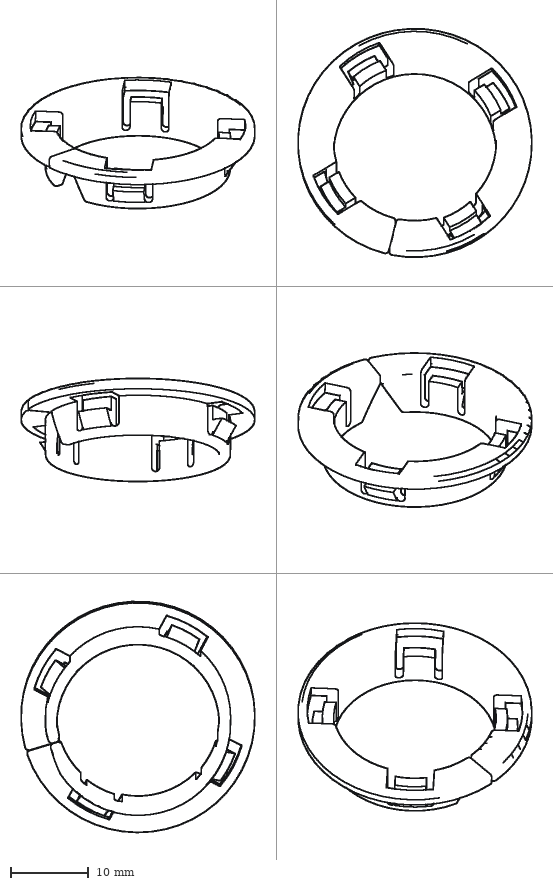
import cadquery as cq
import math

height = 6.5
flange_radius = 15.0
flange_thickness = 1.5
barrel_outer_radius = 11.88
bore_radius = 10.4
edge_radius = 0.48
flange_underside = height - flange_thickness
clearance = 0.3
selection_margin = 0.003

gap_width = 0.05
notch_half_angle = 29.5

tab_angles = (45, 135, 225, 315)
window_half_width = 3.0
window_outer_radius = 13.8
window_floor = 1.02
tab_half_width = 2.0
catch_tip_radius = 13.2
catch_top = 3.15
catch_root_radius = 11.1
catch_base_radius = 11.85
slot_width = window_half_width - tab_half_width


def cylinder(radius, bottom, top):
    return cq.Workplane("XY").workplane(offset=bottom).circle(radius).extrude(top - bottom)


def split_cutter():
    """Gap and V notch, drawn in XZ and run outwards along -Y."""
    half_gap = gap_width / 2
    half_mouth = half_gap + flange_underside * math.tan(math.radians(notch_half_angle))
    return (
        cq.Workplane("XZ")
        .moveTo(-half_gap, height)
        .lineTo(half_gap, height)
        .lineTo(half_gap, flange_underside)
        .lineTo(half_mouth, 0)
        .lineTo(-half_mouth, 0)
        .lineTo(-half_gap, flange_underside)
        .close()
        .extrude(flange_radius + clearance)
    )


def split_ring():
    """Ring with its split, all edges rounded except at the flange underside."""
    ring = cylinder(flange_radius, flange_underside, height)
    ring = ring.union(cylinder(barrel_outer_radius, 0, flange_underside))
    ring = ring.cut(cylinder(bore_radius, 0, height)).cut(split_cutter())
    reach = flange_radius + clearance
    underside = cq.selectors.BoxSelector(
        (-reach, -reach, flange_underside - selection_margin),
        (reach, reach, flange_underside + selection_margin),
        boundingbox=True,
    )
    return ring.edges(cq.selectors.InverseSelector(underside)).fillet(edge_radius)


def window_cutter():
    """Opening on the +X side through the full thickness of the flange."""
    window = cq.Workplane("XY").box(
        window_outer_radius, 2 * window_half_width, flange_thickness, centered=(False, True, False)
    )
    window = window.translate((0, 0, flange_underside))
    return window.intersect(cylinder(window_outer_radius, 0, height))


def slot_cutter(side):
    """Round-bottomed slot through the barrel wall, beside the tab on the +X side."""
    slot_radius = slot_width / 2
    return (
        cq.Workplane("YZ")
        .center(side * (tab_half_width + slot_radius), window_floor + slot_radius)
        .moveTo(-slot_radius, 0)
        .threePointArc((0, -slot_radius), (slot_radius, 0))
        .lineTo(slot_radius, flange_underside - window_floor)
        .lineTo(-slot_radius, flange_underside - window_floor)
        .close()
        .extrude(window_outer_radius - clearance)
    )


def catch():
    """Conical wedge on the outside of the tab, widest at its flat top."""
    cone_ring = (
        cq.Workplane("XZ")
        .moveTo(catch_root_radius, window_floor)
        .lineTo(catch_base_radius, window_floor)
        .lineTo(catch_tip_radius, catch_top)
        .lineTo(catch_root_radius, catch_top)
        .close()
        .revolve(360, (0, 0, 0), (0, 1, 0))
    )
    tab_span = cq.Workplane("XY").box(
        window_outer_radius, 2 * tab_half_width, height, centered=(False, True, False)
    )
    return cone_ring.intersect(tab_span)


part_axis = ((0, 0, 0), (0, 0, 1))
result = split_ring()
for angle in tab_angles:
    result = result.cut(window_cutter().rotate(*part_axis, angle))
    for side in (-1, 1):
        result = result.cut(slot_cutter(side).rotate(*part_axis, angle))
    result = result.union(catch().rotate(*part_axis, angle))